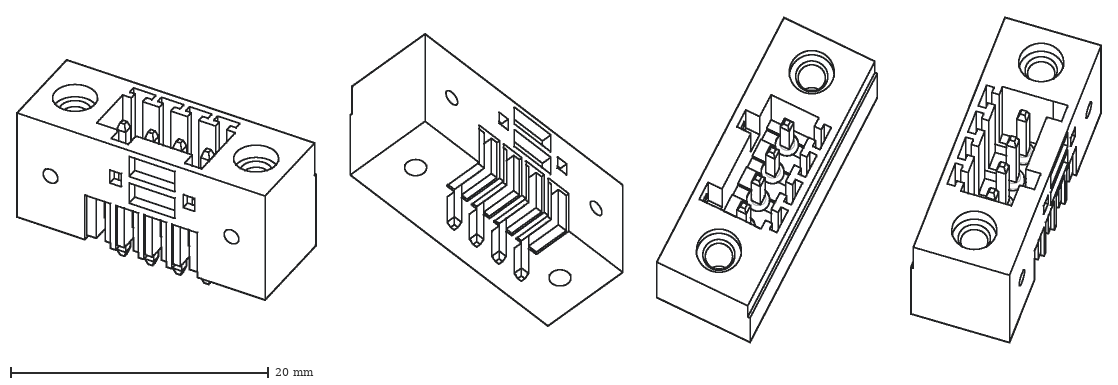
import cadquery as cq


LENGTH = 22.1
BODY_DEPTH = 7.91
BACK_STEP = 0.2
BACK_STEP_HEIGHT = 6.95
HEIGHT = 10.1

PIN_COUNT = 4
PITCH = 2.5
PIN_WIDTH = 0.8
PIN_TOP = 9.33
PIN_BOTTOM = -3.5
TIP_LENGTH = 0.6
TIP_WIDTH = 0.4
PIN_Y = 3.91
COLLAR_DIAMETER = 1.8
COLLAR_HEIGHT = 0.6
COLLAR_FILLET = 0.3

POCKET_LENGTH = 10.03
POCKET_FRONT = 1.9
POCKET_BACK = 6.05
POCKET_FLOOR = 3.0

STEM_WIDTH = 1.0
BAR_WIDTH = 2.0
BAR_FRONT = 6.65
BAR_BACK = 7.27
GROOVE_FLOOR = 2.5

NOTCH_FRONT = 0.69
NOTCH_WIDTH = 1.52
NOTCH_FLOOR = 5.0
NOTCH_CENTRES = (8.77, 15.32)
WINDOW_WIDTH = 1.02
WINDOW_BOTTOM = 6.32
WINDOW_HEIGHT = 1.25

LABEL_LEFT = 10.0
LABEL_WIDTH = 4.07
LABEL_HEIGHT = 1.95
LABEL_DEPTH = 0.9
LABEL_BOTTOMS = (5.0, 7.58)

OPENING_HEIGHT = 4.33
OPENING_DEPTH = 0.29
OPENING_WIDTH = 2.03
UNDERCUT_HEIGHT = 0.27
CHANNEL_STEP_HEIGHT = 1.45
UPPER_CHANNEL_END = 1.55

BUSHING_INSET = 2.98
BUSHING_DIAMETER = 5.0
RECESS_DIAMETER = 3.5
RECESS_DEPTH = 1.2
BUSHING_BOTTOM = 2.0
BUSHING_BORE = 2.12
LEAD_IN_DIAMETER = 2.5
LEAD_IN_DEPTH = 0.45
SCREW_HOLE = 1.7
SIGHT_HOLE_DIAMETER = 1.3
SIGHT_HOLE_Z = 5.05

CENTRE_X = LENGTH / 2
PIN_XS = [CENTRE_X + (i - (PIN_COUNT - 1) / 2) * PITCH for i in range(PIN_COUNT)]
PIN_FRONT = PIN_Y - PIN_WIDTH / 2
POCKET_LEFT = CENTRE_X - POCKET_LENGTH / 2
POCKET_RIGHT = CENTRE_X + POCKET_LENGTH / 2
BUSHING_TOP = HEIGHT - RECESS_DEPTH
BUSHING_XS = (BUSHING_INSET, LENGTH - BUSHING_INSET)


def box(x_range, y_range, z_range):
    """Axis-aligned block between the given limits."""
    (x0, x1), (y0, y1), (z0, z1) = x_range, y_range, z_range
    return cq.Workplane("XY").box(x1 - x0, y1 - y0, z1 - z0, centered=False).translate((x0, y0, z0))


def around(centre, width):
    """Limits of a width placed evenly about a centre."""
    return centre - width / 2, centre + width / 2


def cylinder(x, diameter, bottom, top):
    """Upright cylinder on the pin line."""
    return cq.Workplane("XY").circle(diameter / 2).extrude(top - bottom).translate((x, PIN_Y, bottom))


def make_block():
    """Plain housing block with the low step along its back."""
    block = box((0, LENGTH), (0, BODY_DEPTH), (0, HEIGHT))
    return block.union(box((0, LENGTH), (0, BODY_DEPTH + BACK_STEP), (0, BACK_STEP_HEIGHT)))


def cut_pocket(housing):
    """Pin pocket with its T-slots, coding notches and windows."""
    housing = housing.cut(
        box((POCKET_LEFT, POCKET_RIGHT), (POCKET_FRONT, POCKET_BACK), (POCKET_FLOOR, HEIGHT))
    )
    for x in PIN_XS:
        stem = box(around(x, STEM_WIDTH), (POCKET_FRONT, BAR_BACK), (GROOVE_FLOOR, HEIGHT))
        bar = box(around(x, BAR_WIDTH), (BAR_FRONT, BAR_BACK), (GROOVE_FLOOR, HEIGHT))
        housing = housing.cut(stem.union(bar))
    for x in NOTCH_CENTRES:
        notch = box(around(x, NOTCH_WIDTH), (NOTCH_FRONT, POCKET_FRONT), (NOTCH_FLOOR, HEIGHT))
        window_top = WINDOW_BOTTOM + WINDOW_HEIGHT
        window = box(around(x, WINDOW_WIDTH), (0, NOTCH_FRONT), (WINDOW_BOTTOM, window_top))
        housing = housing.cut(notch).cut(window)
    return housing


def cut_labels(housing):
    """Two blind label recesses, one above the other."""
    for bottom in LABEL_BOTTOMS:
        label_x = (LABEL_LEFT, LABEL_LEFT + LABEL_WIDTH)
        housing = housing.cut(box(label_x, (0, LABEL_DEPTH), (bottom, bottom + LABEL_HEIGHT)))
    return housing


def cut_front_openings(housing):
    """Opening, undercut and channel before each pin; the outer openings reach the pocket ends."""
    for x in PIN_XS:
        left, right = around(x, OPENING_WIDTH)
        if x == PIN_XS[0]:
            left = POCKET_LEFT
        if x == PIN_XS[-1]:
            right = POCKET_RIGHT
        opening = box((left, right), (0, OPENING_DEPTH), (0, OPENING_HEIGHT))
        undercut = box((left, right), (0, PIN_FRONT), (0, UNDERCUT_HEIGHT))
        channel_x = around(x, PIN_WIDTH)
        lower_channel = box(channel_x, (0, PIN_FRONT), (0, CHANNEL_STEP_HEIGHT))
        upper_channel = box(channel_x, (0, UPPER_CHANNEL_END), (0, OPENING_HEIGHT))
        housing = housing.cut(opening).cut(undercut).cut(lower_channel).cut(upper_channel)
    return housing


def cut_bushing_seats(housing):
    """Bushing seats with narrower recesses above, screw holes below and sight holes from the front."""
    for x in BUSHING_XS:
        seat = cylinder(x, BUSHING_DIAMETER, BUSHING_BOTTOM, BUSHING_TOP)
        recess = cylinder(x, RECESS_DIAMETER, BUSHING_TOP, HEIGHT)
        screw_hole = cylinder(x, SCREW_HOLE, 0, BUSHING_BOTTOM)
        sight_hole = cq.Workplane("XZ").circle(SIGHT_HOLE_DIAMETER / 2).extrude(-PIN_Y)
        sight_hole = sight_hole.translate((x, 0, SIGHT_HOLE_Z))
        housing = housing.cut(seat).cut(recess).cut(screw_hole).cut(sight_hole)
    return housing


def make_housing(pins):
    """Complete housing, with a fitting hole for each pin."""
    housing = make_block()
    housing = cut_pocket(housing)
    housing = cut_labels(housing)
    housing = cut_front_openings(housing)
    housing = cut_bushing_seats(housing)
    for pin in pins:
        housing = housing.cut(pin)
    return housing


def make_tip(start, length):
    """Pyramid tip that narrows from the full pin width; a negative length points down."""
    tip = cq.Workplane("XY").rect(PIN_WIDTH, PIN_WIDTH).workplane(offset=length)
    return tip.rect(TIP_WIDTH, TIP_WIDTH).loft().translate((0, 0, start))


def make_pin(x):
    """Square pin with tapered ends and a round collar on the pocket floor."""
    shank_bottom = PIN_BOTTOM + TIP_LENGTH
    shank_top = PIN_TOP - TIP_LENGTH
    pin = box(around(0, PIN_WIDTH), around(0, PIN_WIDTH), (shank_bottom, shank_top))
    pin = pin.union(make_tip(shank_top, TIP_LENGTH)).union(make_tip(shank_bottom, -TIP_LENGTH))
    collar = cq.Workplane("XY").circle(COLLAR_DIAMETER / 2).extrude(COLLAR_HEIGHT)
    collar = collar.faces(">Z").edges().fillet(COLLAR_FILLET).translate((0, 0, POCKET_FLOOR))
    return pin.union(collar).translate((x, PIN_Y, 0))


def make_bushing(x):
    """Bushing with a through bore and a conical lead-in at its top."""
    lead_in_bottom = BUSHING_TOP - LEAD_IN_DEPTH
    profile = [
        (BUSHING_BORE / 2, BUSHING_BOTTOM),
        (BUSHING_DIAMETER / 2, BUSHING_BOTTOM),
        (BUSHING_DIAMETER / 2, BUSHING_TOP),
        (LEAD_IN_DIAMETER / 2, BUSHING_TOP),
        (BUSHING_BORE / 2, lead_in_bottom),
    ]
    bushing = cq.Workplane("XZ").polyline(profile).close().revolve(360, (0, 0, 0), (0, 1, 0))
    return bushing.translate((x, PIN_Y, 0))


pins = [make_pin(x) for x in PIN_XS]
bushings = [make_bushing(x) for x in BUSHING_XS]
housing = make_housing(pins)

result = cq.Compound.makeCompound(
    [housing.val(), *[pin.val() for pin in pins], *[bushing.val() for bushing in bushings]]
)